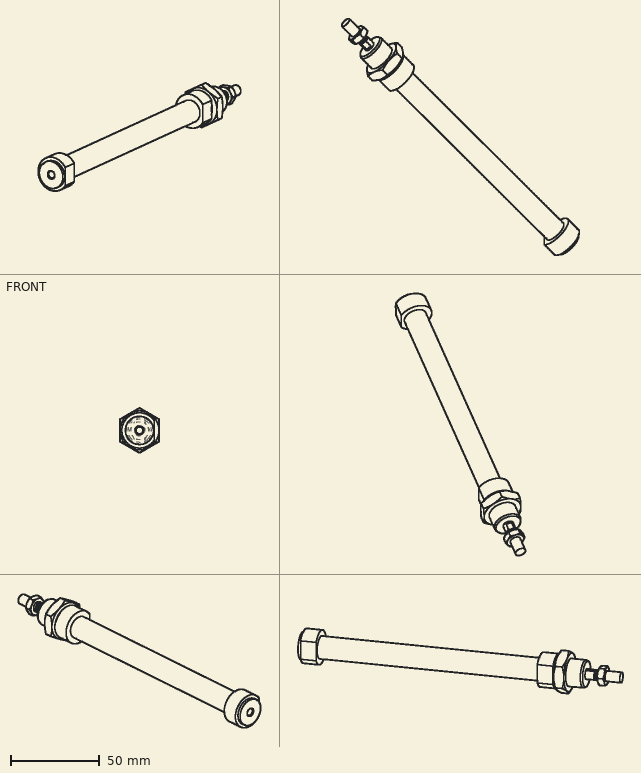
import cadquery as cq
import math

total_length = 190.0
rod_tip_y = total_length / 2
rear_face_y = -total_length / 2

tube_diameter = 13.1
head_diameter = 20.0
head_length = 9.3
head_flat_x = 8.4
boss_diameter = 16.0
front_boss_length = 17.3
boss_chamfer_length = 1.1
boss_chamfer_depth = 0.5
rear_boss_length = 1.7
rear_hole_diameter = 4.0
rear_hole_mouth_diameter = 5.0
rear_hole_depth = 5.7
drill_point_angle = 118.0

rod_diameter = 6.0
rod_length = 20.7
groove_diameter = 5.0
groove_start = 14.2
groove_width = 1.1
wrench_flat_width = 5.1
wrench_flat_length = 4.4

mounting_nut_width = 22.0
mounting_nut_thickness = 6.0
mounting_nut_from_tip = 30.5
rod_nut_width = 10.0
rod_nut_thickness = 4.0
rod_nut_from_tip = 8.7
nut_chamfer_angle = 30.0
corners_on_x = 0.0
corners_on_z = 30.0

front_face_y = rod_tip_y - rod_length
front_head_y = front_face_y - front_boss_length
rear_head_y = rear_face_y + rear_boss_length


def cylinder(diameter, start_y, length):
    """Cylinder on the Y axis, running from start_y toward +Y."""
    return cq.Workplane("XZ", origin=(0, start_y, 0)).circle(diameter / 2).extrude(-length)


def end_head(start_y):
    """Round head with one flat on the +X side."""
    head = cylinder(head_diameter, start_y, head_length)
    keep = cq.Workplane("XY").box(
        head_diameter, head_length, head_diameter
    ).translate((head_flat_x - head_diameter / 2, start_y + head_length / 2, 0))
    return head.intersect(keep)


def front_boss():
    """Threaded mounting boss with a tapered lead-in at its front."""
    radius = boss_diameter / 2
    return (
        cq.Workplane("XY")
        .moveTo(0, front_head_y)
        .lineTo(radius, front_head_y)
        .lineTo(radius, front_face_y - boss_chamfer_length)
        .lineTo(radius - boss_chamfer_depth, front_face_y)
        .lineTo(0, front_face_y)
        .close()
        .revolve(360, (0, 0, 0), (0, 1, 0))
    )


def rear_hole():
    """Blind drilled hole with a 45 degree chamfered mouth and a conical bottom."""
    radius = rear_hole_diameter / 2
    mouth_radius = rear_hole_mouth_diameter / 2
    chamfer_end_y = rear_face_y + mouth_radius - radius
    bottom_y = rear_face_y + rear_hole_depth
    point_length = radius / math.tan(math.radians(drill_point_angle / 2))
    return (
        cq.Workplane("XY")
        .moveTo(0, rear_face_y)
        .lineTo(mouth_radius, rear_face_y)
        .lineTo(radius, chamfer_end_y)
        .lineTo(radius, bottom_y)
        .lineTo(0, bottom_y + point_length)
        .close()
        .revolve(360, (0, 0, 0), (0, 1, 0))
    )


def make_housing():
    tube = cylinder(tube_diameter, rear_head_y, front_head_y - rear_head_y)
    rear_boss = cylinder(boss_diameter, rear_face_y, rear_boss_length)
    return (
        tube.union(end_head(rear_head_y))
        .union(end_head(front_head_y - head_length))
        .union(front_boss())
        .union(rear_boss)
        .cut(rear_hole())
    )


def make_rod():
    """Rod seated on the front boss, with a thread relief groove and two wrench flats."""
    groove_end_y = rod_tip_y - groove_start - groove_width
    rod = cylinder(rod_diameter, front_face_y, rod_length)
    groove = cylinder(rod_diameter, groove_end_y, groove_width).cut(
        cylinder(groove_diameter, groove_end_y, groove_width)
    )
    rod = rod.cut(groove)
    for side in (1, -1):
        flat_cutter = cq.Workplane("XY").box(
            rod_diameter, wrench_flat_length, rod_diameter
        ).translate((
            0,
            groove_end_y - wrench_flat_length / 2,
            side * (wrench_flat_width + rod_diameter) / 2,
        ))
        rod = rod.cut(flat_cutter)
    return rod


def make_nut(width, thickness, bore, from_tip, turn):
    """Hex nut with both ends chamfered; with no turn, two corners lie on the X axis."""
    corner_radius = width / math.sqrt(3)
    chamfer_depth = corner_radius - width / 2
    chamfer_length = chamfer_depth * math.tan(math.radians(nut_chamfer_angle))
    start_y = rod_tip_y - from_tip - thickness
    end_y = start_y + thickness
    hexagon = (
        cq.Workplane("XZ", origin=(0, start_y, 0))
        .polygon(6, 2 * corner_radius)
        .extrude(-thickness)
        .rotate((0, 0, 0), (0, 1, 0), turn)
    )
    chamfered_disc = (
        cq.Workplane("XY")
        .moveTo(0, start_y)
        .lineTo(width / 2, start_y)
        .lineTo(corner_radius, start_y + chamfer_length)
        .lineTo(corner_radius, end_y - chamfer_length)
        .lineTo(width / 2, end_y)
        .lineTo(0, end_y)
        .close()
        .revolve(360, (0, 0, 0), (0, 1, 0))
    )
    return hexagon.intersect(chamfered_disc).cut(cylinder(bore, start_y, thickness))


housing = make_housing()
rod = make_rod()
mounting_nut = make_nut(
    mounting_nut_width, mounting_nut_thickness, boss_diameter, mounting_nut_from_tip, corners_on_z
)
rod_nut = make_nut(rod_nut_width, rod_nut_thickness, rod_diameter, rod_nut_from_tip, corners_on_x)

result = cq.Compound.makeCompound([housing.val(), rod.val(), mounting_nut.val(), rod_nut.val()])